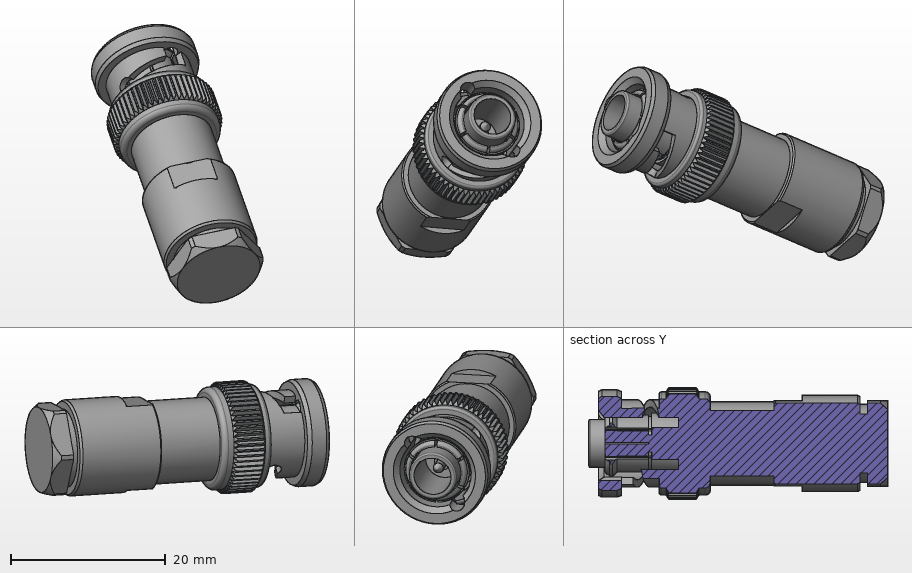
import cadquery as cq
import math

LENGTH = 38.7

FLANGE_START = 1.25
FLANGE_END = 4.25
FLANGE_RADIUS = 13.95 / 2
FLANGE_CHAMFER_HEIGHT = 0.25
FLANGE_FRONT_CHAMFER = 0.45
FLANGE_REAR_CHAMFER = 0.6
SLEEVE_RADIUS = 11.35 / 2
COLLAR_START = 9.1
COLLAR_END = 15.75
COLLAR_RADIUS = 13.4 / 2
COLLAR_FRONT_ROUND = 0.35
COLLAR_REAR_ROUND = 0.7

KNURL_START = 10.0
KNURL_END = 14.3
KNURL_BEVEL = 0.4
KNURL_RADIUS = 14.48 / 2
KNURL_COUNT = 60
KNURL_ROOT_RADIUS = 6.75
KNURL_GROOVE_WIDTH = 0.6

MOUTH_RADIUS = 10.85 / 2
MOUTH_DEPTH = 0.75
BORE_RADIUS = 9.4 / 2
BORE_END = 11.6

CHANNEL_FAR_ANGLE = 21.0
CHANNEL_END = 5.8
KEYWAY_DIAMETER = 2.25
KEYWAY_RADIUS = 4.72
KEYWAY_ANGLE = 37.0
RAMP_AXIAL_WIDTH = 1.63
RAMP_RISE_PER_DEGREE = 0.026
RAMP_START_ANGLE = 50.5
RAMP_END_ANGLE = -42.0
RAMP_START = 5.8
DETENT_X = 8.0
DETENT_ANGLE = -46.0
DETENT_DIAMETER = 2.13
SLOT_INNER_RADIUS = 4.45
SLOT_OUTER_RADIUS = 6.6
BAND_MARGIN = 0.2

FINGER_TIP = 2.1
FINGER_TIP_RADIUS = 3.52
FINGER_NOSE_END = 2.7
FINGER_NOSE_RADIUS = 4.05
FINGER_RIM_END = 3.1
FINGER_RIM_RADIUS = 8.55 / 2
FINGER_SHANK_START = 3.68
FINGER_SHANK_RADIUS = 3.7
FINGER_SHANK_END = 7.75
FINGER_INNER_RADIUS = 3.33
FINGER_SLOT_COUNT = 6
FINGER_SLOT_WIDTH = 0.35
FINGER_SLOT_FLOOR = 3.3
CORE_START = 8.13
CORE_RADIUS = 7.85 / 2
CORE_GROOVE_RADIUS = 3.52

TUBE_RADIUS = 6.25 / 2
TUBE_BORE_RADIUS = 4.88 / 2
TUBE_BORE_DEPTH = 7.75
TUBE_ROUND = 0.25
PIN_TIP = 3.1
PIN_RADIUS = 1.3 / 2
PIN_POINT_LENGTH = 0.77
PIN_SHOULDER_START = 6.6
PIN_SHOULDER_RADIUS = 2.13 / 2

BARREL_RADIUS = 10.85 / 2
BODY_START = 23.95
BODY_END = 35.15
BODY_RADIUS = 12.5 / 2
BODY_FRONT_CHAMFER = 0.2
BODY_REAR_CHAMFER_LENGTH = 0.35
BODY_REAR_CHAMFER_HEIGHT = 0.2
FLAT_END = 27.65
FLAT_HEIGHT = 5.55
NECK_RADIUS = 10.2 / 2
NUT_START = 36.08
NUT_BEVEL = 0.95
NUT_ACROSS_FLATS = 11.1
NUT_ACROSS_CORNERS = NUT_ACROSS_FLATS / math.cos(math.pi / 6)


def revolve(profile):
    """Turn a closed (x, radius) profile around the X axis."""
    return profile.close().revolve(360, (0, 0, 0), (1, 0, 0))


def profile_from(x, radius):
    return cq.Workplane("XY").moveTo(x, radius)


def cylinder(start, end, radius):
    return cq.Workplane("YZ").workplane(offset=start).circle(radius).extrude(end - start)


def about_axis(shape, angle):
    """Swing a shape from +Z towards +Y by the given angle."""
    return shape.rotate((0, 0, 0), (1, 0, 0), -angle)


def polar(radius, angle):
    """Y, Z position at an angle measured from +Z towards +Y."""
    return radius * math.sin(math.radians(angle)), radius * math.cos(math.radians(angle))


def ring_sector(inner_radius, outer_radius, first_angle, last_angle):
    """Closed outline of part of a ring, in the YZ plane at X = 0."""
    middle_angle = (first_angle + last_angle) / 2
    return (
        cq.Workplane("YZ")
        .moveTo(*polar(inner_radius, first_angle))
        .lineTo(*polar(outer_radius, first_angle))
        .threePointArc(polar(outer_radius, middle_angle), polar(outer_radius, last_angle))
        .lineTo(*polar(inner_radius, last_angle))
        .threePointArc(polar(inner_radius, middle_angle), polar(inner_radius, first_angle))
        .close()
    )


def sleeve_and_body():
    """Outside of the plug from the flange to the neck, as one turned solid."""
    flange_edge = FLANGE_RADIUS - FLANGE_CHAMFER_HEIGHT
    outline = (
        profile_from(FLANGE_START, 0)
        .lineTo(FLANGE_START, flange_edge)
        .lineTo(FLANGE_START + FLANGE_FRONT_CHAMFER, FLANGE_RADIUS)
        .lineTo(FLANGE_END - FLANGE_REAR_CHAMFER, FLANGE_RADIUS)
        .lineTo(FLANGE_END, flange_edge)
        .lineTo(FLANGE_END, SLEEVE_RADIUS)
        .lineTo(COLLAR_START, SLEEVE_RADIUS)
        .lineTo(COLLAR_START, COLLAR_RADIUS - COLLAR_FRONT_ROUND)
        .radiusArc((COLLAR_START + COLLAR_FRONT_ROUND, COLLAR_RADIUS), COLLAR_FRONT_ROUND)
        .lineTo(COLLAR_END - COLLAR_REAR_ROUND, COLLAR_RADIUS)
        .radiusArc((COLLAR_END, COLLAR_RADIUS - COLLAR_REAR_ROUND), COLLAR_REAR_ROUND)
        .lineTo(COLLAR_END, BARREL_RADIUS)
        .lineTo(BODY_START, BARREL_RADIUS)
        .lineTo(BODY_START, BODY_RADIUS - BODY_FRONT_CHAMFER)
        .lineTo(BODY_START + BODY_FRONT_CHAMFER, BODY_RADIUS)
        .lineTo(BODY_END - BODY_REAR_CHAMFER_LENGTH, BODY_RADIUS)
        .lineTo(BODY_END, BODY_RADIUS - BODY_REAR_CHAMFER_HEIGHT)
        .lineTo(BODY_END, NECK_RADIUS)
        .lineTo(NUT_START, NECK_RADIUS)
        .lineTo(NUT_START, 0)
    )
    return revolve(outline)


def knurl():
    """Raised ring with bevelled ends and V grooves cut along the axis."""
    ring = revolve(
        profile_from(KNURL_START, 0)
        .lineTo(KNURL_START, COLLAR_RADIUS)
        .lineTo(KNURL_START + KNURL_BEVEL, KNURL_RADIUS)
        .lineTo(KNURL_END - KNURL_BEVEL, KNURL_RADIUS)
        .lineTo(KNURL_END, COLLAR_RADIUS)
        .lineTo(KNURL_END, 0)
    )
    half_width = KNURL_GROOVE_WIDTH / 2
    groove = (
        cq.Workplane("YZ")
        .workplane(offset=KNURL_START)
        .polyline([(0, KNURL_ROOT_RADIUS), (half_width, KNURL_RADIUS), (-half_width, KNURL_RADIUS)])
        .close()
        .extrude(KNURL_END - KNURL_START)
    )
    grooves = cq.Workplane("XY")
    for index in range(KNURL_COUNT):
        grooves.add(about_axis(groove, index * 360 / KNURL_COUNT))
    return ring.cut(cq.Workplane(cq.Compound.makeCompound(grooves.vals())))


def sleeve_bore():
    return revolve(
        profile_from(FLANGE_START, 0)
        .lineTo(FLANGE_START, MOUTH_RADIUS)
        .lineTo(FLANGE_START + MOUTH_DEPTH, BORE_RADIUS)
        .lineTo(BORE_END, BORE_RADIUS)
        .lineTo(BORE_END, 0)
    )


def bayonet_slot():
    """Keyway through the flange, straight channel, helical ramp and round detent."""
    keyway = (
        cq.Workplane("YZ")
        .workplane(offset=FLANGE_START)
        .center(*polar(KEYWAY_RADIUS, KEYWAY_ANGLE))
        .circle(KEYWAY_DIAMETER / 2)
        .extrude(FLANGE_END - FLANGE_START)
    )

    channel = (
        ring_sector(SLOT_INNER_RADIUS, SLOT_OUTER_RADIUS, CHANNEL_FAR_ANGLE, RAMP_START_ANGLE)
        .extrude(CHANNEL_END - FLANGE_END)
        .translate((FLANGE_END, 0, 0))
    )

    slice_angle = RAMP_AXIAL_WIDTH / RAMP_RISE_PER_DEGREE
    ramp_sweep = RAMP_START_ANGLE - RAMP_END_ANGLE
    band_start = RAMP_START - RAMP_AXIAL_WIDTH / 2
    band_length = ramp_sweep * RAMP_RISE_PER_DEGREE + RAMP_AXIAL_WIDTH
    band = (
        ring_sector(
            SLOT_INNER_RADIUS - BAND_MARGIN,
            SLOT_OUTER_RADIUS + BAND_MARGIN,
            RAMP_START_ANGLE,
            RAMP_START_ANGLE + slice_angle,
        )
        .twistExtrude(band_length, band_length / RAMP_RISE_PER_DEGREE)
        .translate((band_start, 0, 0))
    )
    limit = (
        ring_sector(SLOT_INNER_RADIUS, SLOT_OUTER_RADIUS, RAMP_END_ANGLE, RAMP_START_ANGLE)
        .extrude(band_length)
        .translate((band_start, 0, 0))
    )
    ramp = limit.intersect(band)

    detent = about_axis(
        cq.Workplane("XY")
        .workplane(offset=SLOT_INNER_RADIUS)
        .center(DETENT_X, 0)
        .circle(DETENT_DIAMETER / 2)
        .extrude(SLOT_OUTER_RADIUS - SLOT_INNER_RADIUS),
        DETENT_ANGLE,
    )
    slot = keyway.union(channel).union(ramp).union(detent)
    return slot.intersect(cylinder(FLANGE_START, COLLAR_START, SLOT_OUTER_RADIUS))


def spring_fingers():
    """Slotted ring with a rounded nose and a raised rim, on a core that fills the end of the bore."""
    nose_length = FINGER_NOSE_END - FINGER_TIP
    nose_height = FINGER_NOSE_RADIUS - FINGER_TIP_RADIUS
    nose_middle = (
        FINGER_NOSE_END - nose_length * math.cos(math.pi / 4),
        FINGER_TIP_RADIUS + nose_height * math.sin(math.pi / 4),
    )
    ring = revolve(
        profile_from(FINGER_TIP, FINGER_INNER_RADIUS)
        .lineTo(FINGER_TIP, FINGER_TIP_RADIUS)
        .threePointArc(nose_middle, (FINGER_NOSE_END, FINGER_NOSE_RADIUS))
        .lineTo(FINGER_NOSE_END, FINGER_RIM_RADIUS)
        .lineTo(FINGER_RIM_END, FINGER_RIM_RADIUS)
        .lineTo(FINGER_SHANK_START, FINGER_SHANK_RADIUS)
        .lineTo(FINGER_SHANK_END, FINGER_SHANK_RADIUS)
        .lineTo(FINGER_SHANK_END, CORE_GROOVE_RADIUS)
        .lineTo(CORE_START, CORE_GROOVE_RADIUS)
        .lineTo(CORE_START, CORE_RADIUS)
        .lineTo(BORE_END, CORE_RADIUS)
        .lineTo(BORE_END, 0)
        .lineTo(FINGER_SHANK_END, 0)
        .lineTo(FINGER_SHANK_END, FINGER_INNER_RADIUS)
    )
    slit = cq.Workplane("XY").box(
        CORE_START - FINGER_TIP, FINGER_SLOT_WIDTH, BORE_RADIUS, centered=(False, True, False)
    ).translate((FINGER_TIP, 0, FINGER_SLOT_FLOOR))
    for index in range(FINGER_SLOT_COUNT):
        ring = ring.cut(about_axis(slit, index * 360 / FINGER_SLOT_COUNT))
    return ring


def insulator_tube():
    tube = cylinder(0, FINGER_SHANK_END, TUBE_RADIUS).faces("<X").edges().fillet(TUBE_ROUND)
    return tube.cut(cylinder(0, TUBE_BORE_DEPTH, TUBE_BORE_RADIUS))


def contact_pin():
    """Pointed pin standing on a round shoulder at the bottom of the tube."""
    return revolve(
        profile_from(PIN_TIP, 0)
        .lineTo(PIN_TIP + PIN_POINT_LENGTH, PIN_RADIUS)
        .lineTo(PIN_SHOULDER_START, PIN_RADIUS)
        .lineTo(PIN_SHOULDER_START, PIN_SHOULDER_RADIUS)
        .lineTo(TUBE_BORE_DEPTH, PIN_SHOULDER_RADIUS)
        .lineTo(TUBE_BORE_DEPTH, 0)
    )


def wrench_flats():
    """Material to cut away above and below the two flats at the front of the rear body."""
    flat_length = FLAT_END - BODY_START
    slab = cq.Workplane("XY").box(
        flat_length, 2 * BODY_RADIUS, BODY_RADIUS, centered=(False, True, False)
    ).translate((BODY_START, 0, FLAT_HEIGHT))
    return slab.union(slab.mirror("XY"))


def clamp_nut():
    """Hexagon with flats facing +Z and -Z, turned to the body radius and bevelled at the end."""
    hexagon = (
        cq.Workplane("YZ")
        .workplane(offset=NUT_START)
        .polygon(6, NUT_ACROSS_CORNERS)
        .extrude(LENGTH - NUT_START)
    )
    turned = revolve(
        profile_from(NUT_START, 0)
        .lineTo(NUT_START, BODY_RADIUS)
        .lineTo(LENGTH - NUT_BEVEL, BODY_RADIUS)
        .lineTo(LENGTH, NUT_ACROSS_FLATS / 2)
        .lineTo(LENGTH, 0)
    )
    return hexagon.intersect(turned)


shell = sleeve_and_body().union(knurl()).cut(sleeve_bore()).cut(wrench_flats())
slot = bayonet_slot()
for turn in (0, 180):
    shell = shell.cut(about_axis(slot, turn))

result = (
    shell.union(spring_fingers())
    .union(insulator_tube())
    .union(contact_pin())
    .union(clamp_nut())
)